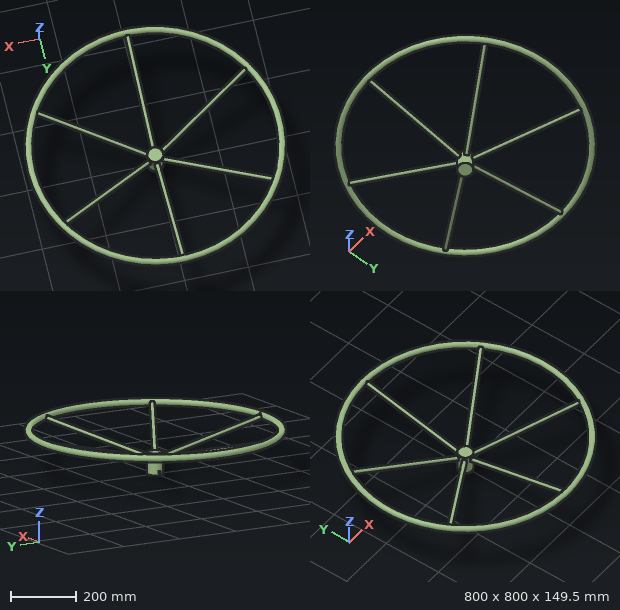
import cadquery as cq

outer_diameter = 800.0
rim_bar_diameter = 25.0
overall_height = 149.5
rim_radius = (outer_diameter - rim_bar_diameter) / 2
rim_height = overall_height - rim_bar_diameter / 2

hub_diameter = 50.0
hub_height = 69.5

spoke_count = 6
spoke_diameter = 16.0
spoke_root_radius = 19.0
spoke_axis_height = 46.0

screw_hole_diameter = 6.0
screw_hole_height = 10.0
screw_hole_depth = hub_diameter / 2


def make_rim():
    return cq.Solid.makeTorus(rim_radius, rim_bar_diameter / 2, cq.Vector(0, 0, rim_height))


def make_hub():
    return cq.Workplane("XY").circle(hub_diameter / 2).extrude(hub_height)


def make_spoke(angle):
    """Sloping spoke whose plan direction is the given angle, measured from +Y."""
    slope = (rim_height - spoke_axis_height) / rim_radius
    root = cq.Vector(0, spoke_root_radius, spoke_axis_height + slope * spoke_root_radius)
    tip = cq.Vector(0, rim_radius, rim_height)
    along = tip - root
    spoke = cq.Solid.makeCylinder(spoke_diameter / 2, along.Length, root, along)
    return spoke.rotate(cq.Vector(0, 0, 0), cq.Vector(0, 0, 1), angle)


def make_screw_hole():
    return (
        cq.Workplane("YZ", origin=(-hub_diameter / 2, 0, screw_hole_height))
        .circle(screw_hole_diameter / 2)
        .extrude(screw_hole_depth)
    )


result = make_hub()
for index in range(spoke_count):
    result = result.union(make_spoke(index * 360 / spoke_count))
result = result.cut(make_screw_hole())

result = result.union(cq.Workplane(make_rim()), clean=False).solids()